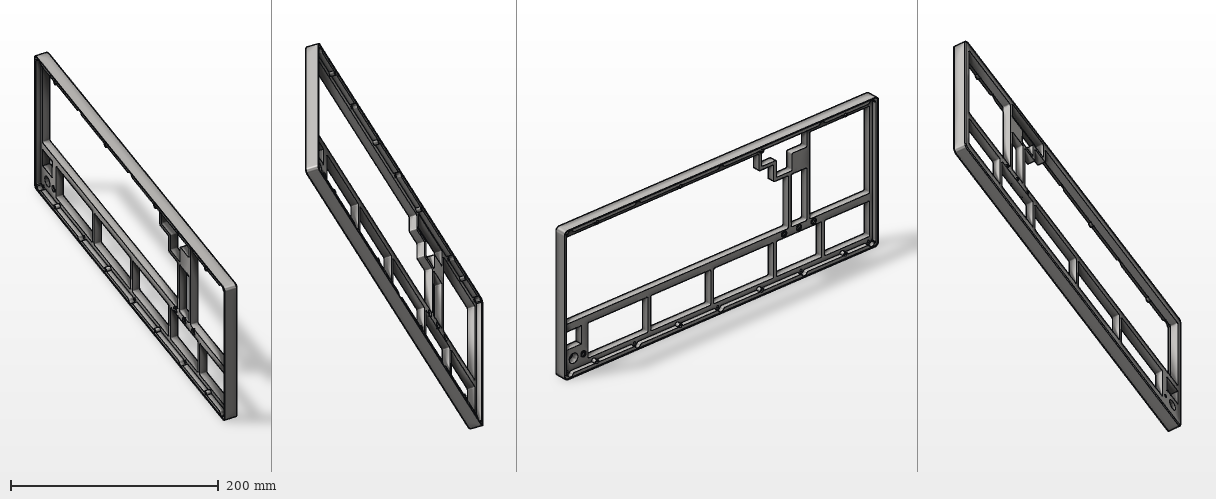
import cadquery as cq
import math

LENGTH = 405.0
DEPTH = 13.5
HEIGHT = 165.0
CORNER_RADIUS = 5.0
BACK_CHAMFER = 1.0
FRONT_Y = -DEPTH / 2

LIP_WIDTH = 1.0
LIP_HEIGHT = 0.4
SIDE_RIM_WIDTH = 3.25
RAIL_RIM_WIDTH = 4.8
POCKET_DEPTH = 5.5
POCKET_RADIUS = 2.0
POCKET_HALF_LENGTH = LENGTH / 2 - SIDE_RIM_WIDTH
POCKET_HALF_HEIGHT = HEIGHT / 2 - RAIL_RIM_WIDTH
RIM_Y = FRONT_Y + LIP_HEIGHT
FLOOR_Y = FRONT_Y + POCKET_DEPTH

PITCH = 19.05
GRID_COLUMNS = 20.5
GRID_ROWS = 7.5
GRID_CENTRE_Z = -0.45
BAR = 0.25
OPENING_CLEARANCE = 0.5
OPENING_RADIUS = 1.5

LOWER_TOP = 2
FIRST_LOWER_LEFT = 1.5
LOWER_WIDTHS = (4, 4, 4, 3, 3)

UPPER_BOTTOM = 2.5
MAIN_RIGHT = 15
STEP_ROW = 6.5
SLOT_LEFT = MAIN_RIGHT + BAR
SLOT_RIGHT = SLOT_LEFT + 1
SLOT_TOP = 5.5
SIDE_LEFT = SLOT_RIGHT + BAR
NOTCH_LEFT = SLOT_LEFT - 2

SCREW_HOLE_DIAMETER = 2.5
SCREW_HOLE_DEPTH = 6.0
SCREW_Z = 77.5
BOSS_DIAMETER = 5.25
BOSS_XS = (-160.0, -52.5, 52.5, 160.0)
SCALLOP_RADIUS = 3.3
SCALLOP_FLARE_RADIUS = 3.0
END_SCALLOP_X = 194.0
INNER_SCALLOP_X = 107.25
SHIFTED_SCALLOP_X = 130.0
TOP_SCALLOP_XS = (-END_SCALLOP_X, -INNER_SCALLOP_X, 0.0, SHIFTED_SCALLOP_X, END_SCALLOP_X)
BOTTOM_SCALLOP_XS = (-END_SCALLOP_X, -INNER_SCALLOP_X, 0.0, INNER_SCALLOP_X, END_SCALLOP_X)

MOUNT_HOLE_DIAMETER = 3.2
MOUNT_BORE_DIAMETER = 6.5
MOUNT_BORE_DEPTH = 1.5
MOUNT_STEP_DIAMETER = 5.25
MOUNT_STEP_DEPTH = 3.5
MOUNT_COLUMNS = (14.75, 15.75, 16.75)
LOWER_MOUNT_X = -172.75
ROUND_OPENING_DIAMETER = 11.0
ROUND_OPENING_COLUMN = 0.5
ROUND_OPENING_Z = -65.5


def grid_x(column):
    """X of a place given in key pitches from the left edge of the grid."""
    return (column - GRID_COLUMNS / 2) * PITCH


def grid_z(row):
    """Z of a place given in key pitches up from the bottom edge of the grid."""
    return GRID_CENTRE_Z + (row - GRID_ROWS / 2) * PITCH


def front_plane(y):
    """Sketching plane parallel to the front face, at the given Y."""
    return cq.Workplane("XZ", origin=(0, y, 0))


def rounded_block(length, height, radius, y, depth):
    """Centred block with rounded corners, running from y toward the back."""
    return front_plane(y).rect(length, height).extrude(-depth).edges("|Y").fillet(radius)


def cylinder(x, z, diameter, y, depth):
    """Cylinder running from y toward the back."""
    return front_plane(y).center(x, z).circle(diameter / 2).extrude(-depth)


def make_blank():
    """Frame body with its back chamfer, front lip, rim and pocket."""
    body = rounded_block(LENGTH, HEIGHT, CORNER_RADIUS, FRONT_Y, DEPTH)
    body = body.faces(">Y").edges().chamfer(BACK_CHAMFER)
    body = body.cut(rounded_block(
        LENGTH - 2 * LIP_WIDTH, HEIGHT - 2 * LIP_WIDTH, CORNER_RADIUS - LIP_WIDTH, FRONT_Y, LIP_HEIGHT,
    ))
    return body.cut(rounded_block(
        2 * POCKET_HALF_LENGTH, 2 * POCKET_HALF_HEIGHT, POCKET_RADIUS, FRONT_Y, POCKET_DEPTH,
    ))


def scallop(x, side):
    """Round clearance cut into a rail rim around a screw, flaring tangentially into the pocket wall."""
    flare_z = POCKET_HALF_HEIGHT + SCALLOP_FLARE_RADIUS
    centre_distance = SCALLOP_RADIUS + SCALLOP_FLARE_RADIUS
    contact_angle = math.asin((flare_z - SCREW_Z) / centre_distance)
    flare_x = centre_distance * math.cos(contact_angle)
    middle_angle = (contact_angle + math.pi / 2) / 2

    roof = (0, SCREW_Z + SCALLOP_RADIUS)
    contact = (
        SCALLOP_RADIUS * math.cos(contact_angle),
        SCREW_Z + SCALLOP_RADIUS * math.sin(contact_angle),
    )
    flare_middle = (
        flare_x - SCALLOP_FLARE_RADIUS * math.cos(middle_angle),
        flare_z - SCALLOP_FLARE_RADIUS * math.sin(middle_angle),
    )
    mouth = (flare_x, POCKET_HALF_HEIGHT)

    def left(point):
        return (x - point[0], side * point[1])

    def right(point):
        return (x + point[0], side * point[1])

    outline = (
        front_plane(FRONT_Y)
        .moveTo(*left(mouth))
        .threePointArc(left(flare_middle), left(contact))
        .threePointArc(right(roof), right(contact))
        .threePointArc(right(flare_middle), right(mouth))
        .close()
    )
    limit = front_plane(FRONT_Y).rect(2 * POCKET_HALF_LENGTH, HEIGHT).extrude(-POCKET_DEPTH)
    return outline.extrude(-POCKET_DEPTH).intersect(limit)


def add_rail_screws(body, side, scallop_xs):
    """Screw holes of one rail; side is +1 for the top rail and -1 for the bottom rail."""
    z = side * SCREW_Z
    for x in scallop_xs:
        body = body.cut(scallop(x, side))
        body = body.cut(cylinder(x, z, SCREW_HOLE_DIAMETER, FLOOR_Y, SCREW_HOLE_DEPTH))
    for x in BOSS_XS:
        body = body.union(cylinder(x, z, BOSS_DIAMETER, RIM_Y, FLOOR_Y - RIM_Y))
        body = body.cut(cylinder(x, z, SCREW_HOLE_DIAMETER, RIM_Y, SCREW_HOLE_DEPTH))
    return body


def opening(points):
    """Cutter right through the floor; its outline is given as (column, row) in key pitches."""
    outline = [(grid_x(column), grid_z(row)) for column, row in points]
    enlarged = front_plane(FLOOR_Y).polyline(outline).close().offset2D(OPENING_CLEARANCE, "intersection")
    return enlarged.extrude(-DEPTH)


def rectangle(left, right, bottom, top):
    """Corner points of a rectangle."""
    return [(left, bottom), (right, bottom), (right, top), (left, top)]


def rounded_opening_outlines():
    """Outlines of all openings whose corners are rounded."""
    outlines = []
    left = FIRST_LOWER_LEFT
    for width in LOWER_WIDTHS:
        outlines.append(rectangle(left, left + width, 0, LOWER_TOP))
        left += width + BAR

    main = [
        (0, UPPER_BOTTOM),
        (MAIN_RIGHT, UPPER_BOTTOM),
        (MAIN_RIGHT, SLOT_TOP),
        (MAIN_RIGHT - 1, SLOT_TOP),
        (MAIN_RIGHT - 1, STEP_ROW),
        (MAIN_RIGHT - 2, STEP_ROW),
        (MAIN_RIGHT - 2, GRID_ROWS),
        (0, GRID_ROWS),
    ]
    notch = [
        (NOTCH_LEFT, STEP_ROW + BAR),
        (NOTCH_LEFT + 1, STEP_ROW + BAR),
        (NOTCH_LEFT + 1, SLOT_TOP + BAR),
        (SLOT_LEFT, SLOT_TOP + BAR),
        (SLOT_LEFT, STEP_ROW + BAR),
        (SLOT_RIGHT, STEP_ROW + BAR),
        (SLOT_RIGHT, GRID_ROWS + BAR),
        (NOTCH_LEFT, GRID_ROWS + BAR),
    ]
    slot = rectangle(SLOT_LEFT, SLOT_RIGHT, UPPER_BOTTOM, SLOT_TOP)
    side_opening = rectangle(SIDE_LEFT, GRID_COLUMNS, UPPER_BOTTOM, GRID_ROWS)
    return outlines + [main, notch, slot, side_opening]


def cut_openings(body):
    """Sharp square opening, rounded key openings and the large round opening."""
    body = body.cut(opening(rectangle(0, 1, LOWER_TOP - 1, LOWER_TOP)))
    for outline in rounded_opening_outlines():
        body = body.cut(opening(outline).edges("|Y").fillet(OPENING_RADIUS))
    round_x = grid_x(ROUND_OPENING_COLUMN)
    return body.cut(cylinder(round_x, ROUND_OPENING_Z, ROUND_OPENING_DIAMETER, FLOOR_Y, DEPTH))


def cut_mounting_holes(body):
    """Three holes in the bar between the blocks and one beside the round opening."""
    bar_z = grid_z((LOWER_TOP + UPPER_BOTTOM) / 2)
    places = [(grid_x(column), bar_z) for column in MOUNT_COLUMNS]
    places.append((LOWER_MOUNT_X, ROUND_OPENING_Z))
    for x, z in places:
        body = body.cut(cylinder(x, z, MOUNT_HOLE_DIAMETER, FLOOR_Y, DEPTH))
        body = body.cut(cylinder(x, z, MOUNT_STEP_DIAMETER, FLOOR_Y, MOUNT_STEP_DEPTH))
        body = body.cut(cylinder(x, z, MOUNT_BORE_DIAMETER, FLOOR_Y, MOUNT_BORE_DEPTH))
    return body


result = make_blank()
result = add_rail_screws(result, 1, TOP_SCALLOP_XS)
result = add_rail_screws(result, -1, BOTTOM_SCALLOP_XS)
result = cut_openings(result)
result = cut_mounting_holes(result)